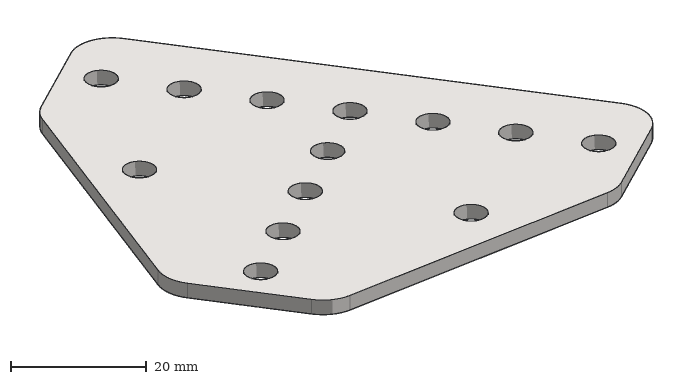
import cadquery as cq
import math

width = 88.65
thickness = 2.5
hole_diameter = 5.05
holes_across = 7
holes_down_stem = 4
flat_below_row = 10.55

pitch = width / holes_across
margin = pitch / 2
corner_radius = margin
half_width = width / 2

top_edge = pitch
bottom_edge = -holes_down_stem * pitch - margin
bottom_flat_half = 0.75 * pitch

slant_run = (half_width - corner_radius) - bottom_flat_half
slant_drop = -flat_below_row - (bottom_edge + corner_radius)
slant_angle = math.atan2(slant_run, slant_drop)

side_corner_y = -flat_below_row - corner_radius * math.tan(slant_angle / 2)
bottom_turn = math.pi / 2 - slant_angle
bottom_corner_x = bottom_flat_half + corner_radius * math.tan(bottom_turn / 2)


def make_plate():
    """Tapered T plate with all six corners rounded."""
    corners = [
        (-half_width, top_edge),
        (half_width, top_edge),
        (half_width, side_corner_y),
        (bottom_corner_x, bottom_edge),
        (-bottom_corner_x, bottom_edge),
        (-half_width, side_corner_y),
    ]
    plate = cq.Workplane("XY").polyline(corners).close().extrude(thickness)
    return plate.edges("|Z").fillet(corner_radius)


def hole_centers():
    """Row across the top, stem down the middle and one hole on each side."""
    middle = holes_across // 2
    row = [((i - middle) * pitch, 0) for i in range(holes_across)]
    stem = [(0, -i * pitch) for i in range(1, holes_down_stem + 1)]
    sides = [(side * 2 * pitch, -2 * pitch) for side in (-1, 1)]
    return row + stem + sides


hole_cutters = (
    cq.Workplane("XY")
    .pushPoints(hole_centers())
    .circle(hole_diameter / 2)
    .extrude(thickness)
)
result = make_plate().cut(hole_cutters)